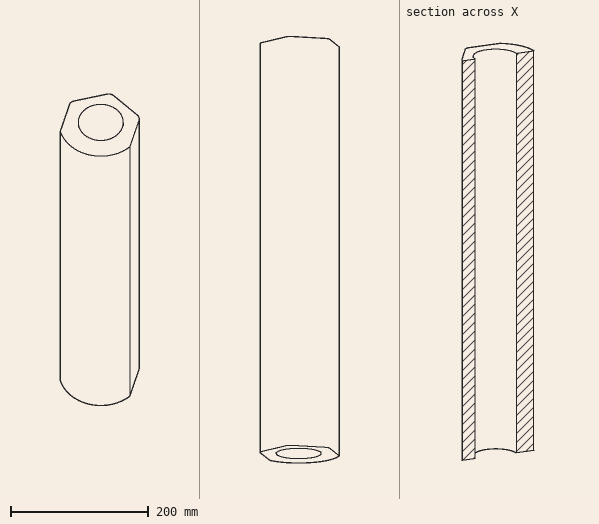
import cadquery as cq
import math

length = 609.5
across_flats = 105.0
depth = 114.0
edge_radius = 10.0
back_radius = 61.0
bore_diameter = 65.0

half_width = across_flats / 2
tip_y = half_width / math.cos(math.radians(30))
shoulder_y = tip_y / 2

rounded_tip_y = tip_y - edge_radius * (1 / math.cos(math.radians(30)) - 1)
arc_bottom_y = rounded_tip_y - depth
bore_y = arc_bottom_y + back_radius
arc_end_y = bore_y - math.sqrt(back_radius**2 - half_width**2)

bar = (
    cq.Workplane("XY")
    .moveTo(-half_width, arc_end_y)
    .lineTo(-half_width, shoulder_y)
    .lineTo(0, tip_y)
    .lineTo(half_width, shoulder_y)
    .lineTo(half_width, arc_end_y)
    .threePointArc((0, arc_bottom_y), (-half_width, arc_end_y))
    .close()
    .extrude(length)
)

bar = bar.edges("|Z").edges(cq.selectors.BoxSelector(
    (-across_flats, 0, 0), (across_flats, across_flats, length)
)).fillet(edge_radius)

bore = (
    cq.Workplane("XY")
    .center(0, bore_y)
    .circle(bore_diameter / 2)
    .extrude(length)
)

result = bar.cut(bore)